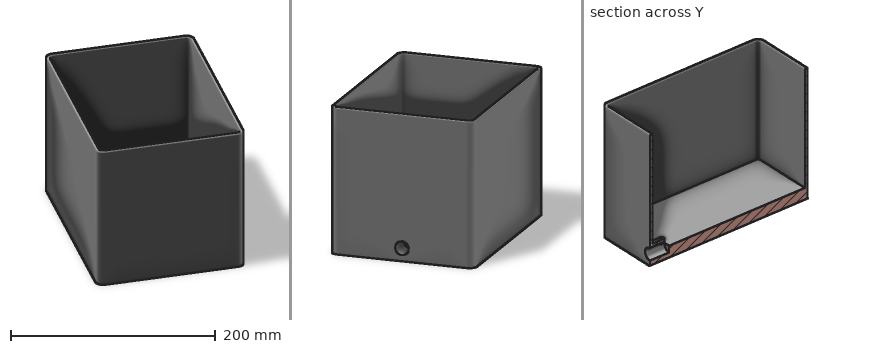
import cadquery as cq

length = 200
width = 150
height = 150
wall = 4
floor_thickness = 14
corner_radius = 8
rim_radius = 1.5

bore_diameter = 14
bore_depth = 24.5
bore_height = 13.5

collar_diameter = 22.5
collar_reach = 18.8


def rounded_block(size_x, size_y, size_z, radius, base_z):
    """Upright block centred on Z with rounded vertical edges."""
    block = cq.Workplane("XY").workplane(offset=base_z).rect(size_x, size_y).extrude(size_z)
    return block.edges("|Z").fillet(radius)


def rod_from_wall(diameter, reach):
    """Rod along +X on the bore axis, starting at the outer -X face."""
    start_face = cq.Workplane("YZ", origin=(-length / 2, 0, bore_height))
    return start_face.circle(diameter / 2).extrude(reach)


outer = rounded_block(length, width, height, corner_radius, 0)
cavity = rounded_block(
    length - 2 * wall,
    width - 2 * wall,
    height - floor_thickness,
    corner_radius - wall,
    floor_thickness,
)
box = outer.cut(cavity).faces(">Z").edges().fillet(rim_radius)

collar = rod_from_wall(collar_diameter, collar_reach)
bore = rod_from_wall(bore_diameter, bore_depth)
result = box.union(collar).cut(bore)